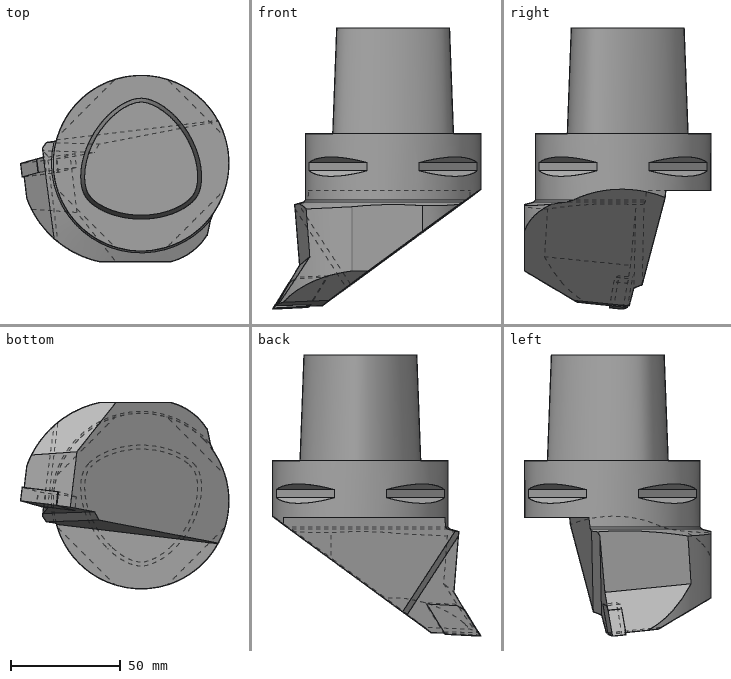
import cadquery as cq
import math


flange_radius = 80.0 / 2
flange_height = 25.9
shank_height = 48.1
shank_base_radius = 27.5
shank_top_radius = 25.7
lobe_size = 2.0
lobe_points = 48

groove_count = 4
groove_z = -15.0
groove_depth = 4.6
groove_floor_height = 3.7
groove_mouth_height = 8.8

neck_end_z = -30.2
shoulder_radius = 40.8
shoulder_z = -31.1
shoulder_slope = 0.27
head_reach = 76.8
front_flat_y = -44.9

rake_dx = 0.12
rake_dz = 0.1
rake_y = 14.5
gullet_step = 3.3
step_draft = 42.0

flank_top = (-45.6, -23.0)
flank_knee = (-42.6, -59.9)
nose = (-54.0, -78.8)
heel = (-32.3, -78.3)
back_low = (39.4, -25.9)
back_slope = (back_low[1] - heel[1]) / (back_low[0] - heel[0])

step_top = (-44.2, -35.0)
step_bottom = (-21.2, -70.1)

relief_top = (front_flat_y, -62.5)
relief_bottom = (-21.0, -76.7)

insert_tip = (-54.9, -79.9)
insert_side = 16.4
insert_angle = 55.0
insert_lead = 2.9
insert_thickness = 6.3
insert_corner_cut = 2.4

rake_plane = cq.Plane(
    origin=(0, rake_y, 0),
    xDir=(1, rake_dx, 0),
    normal=(-rake_dx, 1, -rake_dz),
)


def on_rake(point):
    """In-plane coordinates of the rake-plane point with this x and z."""
    x, z = point
    world = cq.Vector(x, rake_y + rake_dx * x + rake_dz * z, z)
    local = rake_plane.toLocalCoords(world)
    return local.x, local.y


def rake_prism(points, height, draft=0.0):
    outline = [on_rake(point) for point in points]
    return cq.Workplane(rake_plane).polyline(outline).close().extrude(height, taper=draft)


def back_point(x):
    return x, heel[1] + back_slope * (x - heel[0])


def lobed_wire(radius, z):
    """Three-lobed closed curve with one lobe towards +Y."""
    points = []
    for i in range(lobe_points):
        angle = 2 * math.pi * i / lobe_points
        support = radius + lobe_size * math.cos(3 * angle)
        support_rate = -3 * lobe_size * math.sin(3 * angle)
        x = -support * math.sin(angle) - support_rate * math.cos(angle)
        y = support * math.cos(angle) - support_rate * math.sin(angle)
        points.append(cq.Vector(x, y, z))
    return cq.Wire.assembleEdges([cq.Edge.makeSpline(points, periodic=True)])


def make_shank():
    base = lobed_wire(shank_base_radius, 0)
    top = lobed_wire(shank_top_radius, shank_height)
    return cq.Workplane(cq.Solid.makeLoft([base, top]))


def make_groove(angle):
    floor = flange_radius - groove_depth
    mouth = flange_radius
    outside = mouth + 1.3
    section = [
        (floor, groove_z - groove_floor_height / 2),
        (mouth, groove_z - groove_mouth_height / 2),
        (outside, groove_z - groove_mouth_height / 2),
        (outside, groove_z + groove_mouth_height / 2),
        (mouth, groove_z + groove_mouth_height / 2),
        (floor, groove_z + groove_floor_height / 2),
    ]
    groove = cq.Workplane("XZ").polyline(section).close().extrude(flange_radius, both=True)
    return groove.rotate((0, 0, 0), (0, 0, 1), angle)


def make_flange():
    flange = cq.Workplane("XY").circle(flange_radius).extrude(-flange_height)
    for i in range(groove_count):
        flange = flange.cut(make_groove((i + 0.5) * 360 / groove_count))
    below_back = [heel, back_point(head_reach), (head_reach, heel[1])]
    return flange.cut(rake_prism(below_back, 2 * head_reach)).cut(rake_prism(below_back, -2 * head_reach))


def make_head_envelope():
    """Neck, conical shoulder and plan outline that bound the head."""
    cone_end_z = shoulder_z - shoulder_slope * (head_reach - shoulder_radius)
    profile = [
        (0, -flange_height),
        (flange_radius, -flange_height),
        (flange_radius, neck_end_z),
        (shoulder_radius, shoulder_z),
        (head_reach, cone_end_z),
        (head_reach, -2 * head_reach),
        (0, -2 * head_reach),
    ]
    turned = cq.Workplane("XZ").polyline(profile).close().revolve(360, (0, 0, 0), (0, 1, 0))
    plan = (
        cq.Workplane("XY")
        .moveTo(-18.7, front_flat_y)
        .lineTo(13.5, front_flat_y)
        .threePointArc((22.5, -40.7), (29.8, -33.0))
        .lineTo(head_reach, 0)
        .lineTo(head_reach, head_reach)
        .lineTo(-head_reach, head_reach)
        .lineTo(-54.4, -6.4)
        .threePointArc((-39.4, -34.5), (-18.7, front_flat_y))
        .close()
        .extrude(-2 * head_reach)
    )
    relief_slope = (relief_bottom[1] - relief_top[1]) / (relief_bottom[0] - relief_top[0])
    relief_end_z = relief_top[1] - relief_slope * relief_top[0]
    relief = (
        cq.Workplane("YZ")
        .polyline([relief_top, (0, relief_end_z), (relief_top[0], relief_end_z)])
        .close()
        .extrude(head_reach, both=True)
    )
    return turned.intersect(plan).cut(relief)


def make_head():
    outline = [flank_top, flank_knee, nose, heel, back_point(51.2), (51.2, 0), (flank_top[0], 0)]
    below_rake = rake_prism(outline, -head_reach)
    run_x = step_bottom[0] - step_top[0]
    run_z = step_bottom[1] - step_top[1]
    slab = [
        (step_top[0] - run_x, step_top[1] - run_z),
        (step_bottom[0] + run_x, step_bottom[1] + run_z),
        (head_reach, step_bottom[1] + run_z),
        (head_reach, step_top[1] - run_z),
    ]
    raised = rake_prism(outline, gullet_step).intersect(rake_prism(slab, gullet_step, step_draft))
    return below_rake.union(raised).intersect(make_head_envelope())


def make_insert():
    tip_x, tip_y = on_rake(insert_tip)
    low = math.radians(-insert_lead)
    flank = math.radians(-insert_lead - insert_angle)

    def corner(along_low, along_flank):
        return (
            tip_x + along_low * math.cos(low) + along_flank * math.cos(flank),
            tip_y + along_low * math.sin(low) + along_flank * math.sin(flank),
        )

    corners = [
        corner(0, 0),
        corner(insert_side, 0),
        corner(insert_side, insert_side),
        corner(insert_corner_cut, insert_side),
        corner(0, insert_side - insert_corner_cut),
    ]
    return cq.Workplane(rake_plane).polyline(corners).close().extrude(-insert_thickness)


insert = make_insert()
holder = make_flange().union(make_shank()).union(make_head()).cut(insert)

result = cq.Compound.makeCompound([holder.solids().val(), insert.val()])